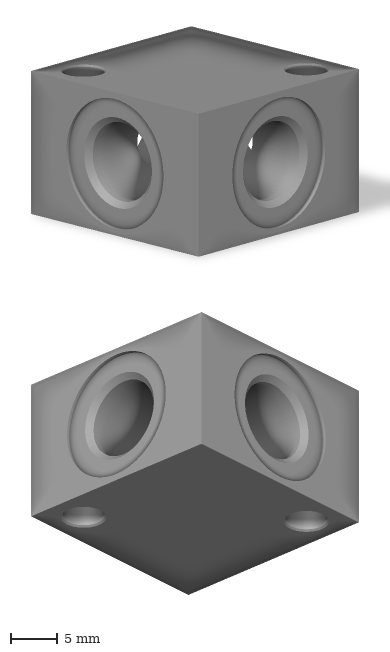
import cadquery as cq

side = 25.0
height = 16.0

bore_diameter = 8.8
mouth_diameter = 10.1
recess_diameter = 14.5
recess_depth = 0.5
mouth_chamfer = (mouth_diameter - bore_diameter) / 2

hole_diameter = 4.5
hole_mouth_diameter = 4.9
hole_offset = 8.5
hole_chamfer = (hole_mouth_diameter - hole_diameter) / 2


def countersink(large_diameter, depth):
    """45 degree cone frustum, wide at Z = 0 and narrowing downwards."""
    radius = large_diameter / 2
    return cq.Workplane("XZ").polyline([
        (0, 0),
        (radius, 0),
        (radius - depth, -depth),
        (0, -depth),
    ]).close().revolve(360, (0, 0), (0, 1))


def through_port():
    """Cutter along Z, as long as the block side, with the same mouth at both ends."""
    cutter = cq.Workplane("XY").circle(bore_diameter / 2).extrude(side / 2, both=True)
    recess = (
        cq.Workplane("XY")
        .workplane(offset=side / 2 - recess_depth)
        .circle(recess_diameter / 2)
        .extrude(recess_depth)
    )
    cone = countersink(mouth_diameter, mouth_chamfer).translate((0, 0, side / 2 - recess_depth))
    mouth = recess.union(cone)
    return cutter.union(mouth).union(mouth.mirror("XY"))


def mounting_hole():
    """Vertical cutter through the block, chamfered at both ends."""
    cutter = cq.Workplane("XY").circle(hole_diameter / 2).extrude(height / 2, both=True)
    cone = countersink(hole_mouth_diameter, hole_chamfer).translate((0, 0, height / 2))
    return cutter.union(cone).union(cone.mirror("XY"))


result = cq.Workplane("XY").box(side, side, height)

port = through_port()
result = result.cut(port.rotate((0, 0, 0), (1, 0, 0), 90))
result = result.cut(port.rotate((0, 0, 0), (0, 1, 0), 90))

for sign in (-1, 1):
    result = result.cut(mounting_hole().translate((sign * hole_offset, sign * hole_offset, 0)))